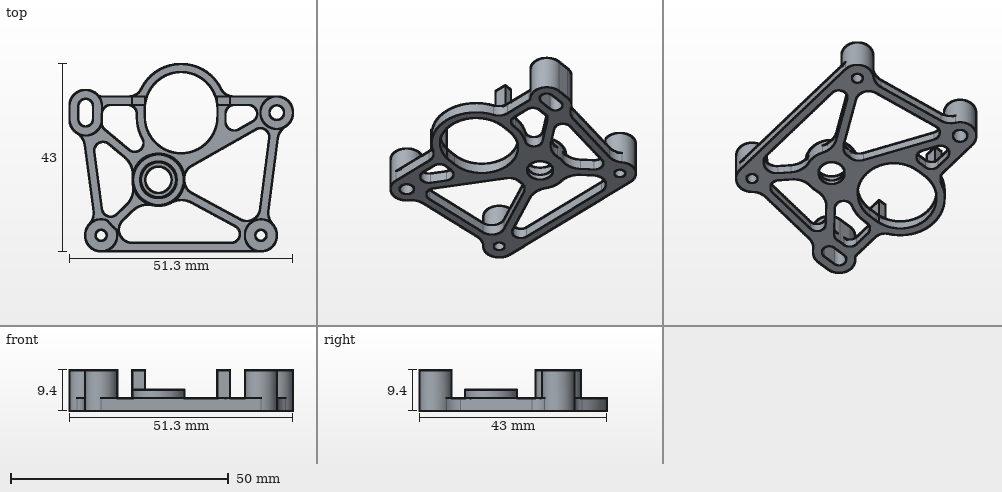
import cadquery as cq
import math

plate_height = 3.0
hub_height = 5.0
boss_height = 9.4

hub = (0.0, 0.0)
hub_radius = 12.0 / 2
hub_bore_radius = 6.0 / 2
bearing_seat_radius = 8.02 / 2
bearing_seat_depth = 3.5
hub_chamfer = 0.2

upper_row_y = 15.4
lower_row_y = -12.74
slot_x = -16.7
lower_left = (-13.15, lower_row_y)
lower_right = (23.5, lower_row_y)
upper_right = (27.14, upper_row_y)
upper_boss_radius = 7.5 / 2
lower_boss_radius = 7.4 / 2
upper_hole_radius = 3.3 / 2
lower_hole_radius = 2.5 / 2
slot_travel = 3.0
slot_bottom = (slot_x, upper_row_y - slot_travel / 2)

wheel_clearance_radius = 15.0

bar_width = 2.0
ring_x = 5.2
ring_travel = 2.0
ring_inner_radius = 8.3
ring_wall = 1.9
ring_outer_radius = ring_inner_radius + ring_wall
ring_bottom = (ring_x, upper_row_y - ring_travel / 2)

tab_width = 3.0
tab_span = 22.5

corner_radius = 2.0
wide_corner_radius = 3.0
hub_blend_small = 3.0
hub_blend_large = 5.0
outline_blend = 4.0
ring_blend = 3.0
slot_boss_blend = 1.0

half_bar = bar_width / 2
top_edge_y = upper_row_y + upper_boss_radius
bottom_edge_y = lower_row_y - lower_boss_radius
window_top_y = top_edge_y - bar_width
window_bottom_y = bottom_edge_y + bar_width


def cylinder(center, radius, height):
    return cq.Workplane("XY").center(*center).circle(radius).extrude(height)


def upright_slot(x, radius, travel, height):
    """Oblong prism along Y, centred on the upper row."""
    length = travel + 2 * radius
    return cq.Workplane("XY").center(x, upper_row_y).slot2D(length, 2 * radius, 90).extrude(height)


def prism(points):
    return cq.Workplane("XY").polyline(points).close().extrude(plate_height)


def offset_line(start, end, distance):
    """Line from start to end shifted to its left: a point and a unit direction."""
    length = math.dist(start, end)
    dx = (end[0] - start[0]) / length
    dy = (end[1] - start[1]) / length
    return (start[0] - distance * dy, start[1] + distance * dx), (dx, dy)


def crossing(line_a, line_b):
    (ax, ay), (adx, ady) = line_a
    (bx, by), (bdx, bdy) = line_b
    along = ((bx - ax) * bdy - (by - ay) * bdx) / (adx * bdy - ady * bdx)
    return ax + along * adx, ay + along * ady


def reverse(line):
    (px, py), (dx, dy) = line
    return (px, py), (-dx, -dy)


def line_circle_crossing(line, center, radius):
    """First point where a line enters a circle."""
    (px, py), (dx, dy) = line
    foot = (center[0] - px) * dx + (center[1] - py) * dy
    miss = (center[0] - px) * dy - (center[1] - py) * dx
    along = foot - math.sqrt(radius**2 - miss**2)
    return px + along * dx, py + along * dy


def round_corner(body, point, radius):
    """Fillet the vertical edge nearest to a point in plan."""
    mid_height = plate_height / 2
    nearest = cq.selectors.NearestToPointSelector((point[0], point[1], mid_height))
    return body.edges("|Z").edges(nearest).fillet(radius)


def hub_window(sides, far_radii, hub_radii):
    """Triangular window whose first side leaves the hub and whose last side returns to it."""
    first, far, last = sides
    far_corners = [crossing(first, far), crossing(far, last)]
    window = prism([crossing(last, first)] + far_corners)
    window = window.cut(cylinder(hub, hub_radius, plate_height))
    hub_corners = [line_circle_crossing(side, hub, hub_radius) for side in (reverse(first), last)]
    for point, radius in zip(far_corners + hub_corners, far_radii + hub_radii):
        window = round_corner(window, point, radius)
    return window


def right_window():
    sides = [
        offset_line(hub, lower_right, half_bar),
        offset_line(lower_right, upper_right, half_bar),
        offset_line(upper_right, hub, half_bar),
    ]
    return hub_window(sides, [wide_corner_radius, corner_radius], [hub_blend_small, hub_blend_small])


def left_window():
    sides = [
        offset_line(hub, slot_bottom, half_bar),
        offset_line(slot_bottom, lower_left, half_bar),
        offset_line(lower_left, hub, half_bar),
    ]
    return hub_window(sides, [corner_radius, corner_radius], [hub_blend_large, hub_blend_large])


def bottom_window():
    sides = [
        offset_line(hub, lower_left, half_bar),
        ((0, window_bottom_y), (1, 0)),
        offset_line(lower_right, hub, half_bar),
    ]
    return hub_window(sides, [wide_corner_radius, corner_radius], [hub_blend_large, hub_blend_large])


def upper_right_window():
    diagonal = offset_line(hub, upper_right, half_bar)
    ring_side = ((ring_x + ring_outer_radius, 0), (0, 1))
    top = ((0, window_top_y), (1, 0))
    corners = [crossing(diagonal, ring_side), crossing(diagonal, top), crossing(ring_side, top)]
    window = prism(corners)
    for point in corners:
        window = round_corner(window, point, corner_radius)
    return window


def upper_left_window():
    """Window between the slotted boss and the ring, with a round tip beside the ring."""
    diagonal = offset_line(slot_bottom, hub, half_bar)
    tip_path = offset_line(slot_bottom, hub, half_bar + corner_radius)
    tip = line_circle_crossing(tip_path, ring_bottom, ring_outer_radius + corner_radius)
    dx, dy = diagonal[1]
    tip_foot = (tip[0] + corner_radius * dy, tip[1] - corner_radius * dx)
    boss_axis = ((slot_x, 0), (0, 1))
    window = prism([
        crossing(diagonal, boss_axis),
        tip_foot,
        tip,
        ring_bottom,
        (ring_x, window_top_y),
        (slot_x, window_top_y),
    ])
    window = window.cut(upright_slot(ring_x, ring_outer_radius, ring_travel, plate_height))
    window = window.cut(upright_slot(slot_x, upper_boss_radius, slot_travel, plate_height))
    boss_side_x = slot_x + upper_boss_radius
    diagonal_end = crossing(diagonal, ((boss_side_x, 0), (0, 1)))
    ring_side_x = ring_x - ring_outer_radius
    for point in [(boss_side_x, window_top_y), diagonal_end, (ring_side_x, window_top_y)]:
        window = round_corner(window, point, corner_radius)
    return window.union(cylinder(tip, corner_radius, plate_height))


def plate_blank():
    """Solid plate outline: bars between the bosses, with the ring standing above the top bar."""
    left_side = offset_line(slot_bottom, lower_left, -half_bar)
    right_side = offset_line(lower_right, upper_right, -half_bar)
    lower_row = ((0, lower_row_y), (1, 0))
    blank = prism([
        lower_left,
        (lower_left[0], bottom_edge_y),
        (lower_right[0], bottom_edge_y),
        lower_right,
        crossing(lower_row, right_side),
        crossing(right_side, ((0, upper_row_y), (1, 0))),
        upper_right,
        (upper_right[0], top_edge_y),
        (slot_x, top_edge_y),
        crossing(left_side, ((0, slot_bottom[1]), (1, 0))),
        crossing(left_side, lower_row),
    ])
    blank = blank.union(upright_slot(ring_x, ring_outer_radius, ring_travel, plate_height))
    blank = blank.union(upright_slot(slot_x, upper_boss_radius, slot_travel, plate_height))
    blank = blank.union(cylinder(upper_right, upper_boss_radius, plate_height))
    for center in (lower_left, lower_right):
        blank = blank.union(cylinder(center, lower_boss_radius, plate_height))

    left_reversed = reverse(left_side)
    right_reversed = reverse(right_side)
    boss_corners = [
        line_circle_crossing(left_side, lower_left, lower_boss_radius),
        line_circle_crossing(left_reversed, slot_bottom, upper_boss_radius),
        line_circle_crossing(right_side, upper_right, upper_boss_radius),
        line_circle_crossing(right_reversed, lower_right, lower_boss_radius),
    ]
    for corner in boss_corners:
        blank = round_corner(blank, corner, outline_blend)

    ring_top = (ring_x, upper_row_y + ring_travel / 2)
    slot_top = (slot_x, upper_row_y + slot_travel / 2)
    top_rightward = ((0, top_edge_y), (1, 0))
    top_leftward = reverse(top_rightward)
    ring_left = line_circle_crossing(top_rightward, ring_top, ring_outer_radius)
    ring_right = line_circle_crossing(top_leftward, ring_top, ring_outer_radius)
    slot_corner = line_circle_crossing(top_leftward, slot_top, upper_boss_radius)
    blank = round_corner(blank, ring_left, ring_blend)
    blank = round_corner(blank, ring_right, ring_blend)
    return round_corner(blank, slot_corner, slot_boss_blend)


def plate():
    body = plate_blank()
    windows = [
        right_window(),
        left_window(),
        bottom_window(),
        upper_right_window(),
        upper_left_window(),
    ]
    for window in windows:
        body = body.cut(window)
    return body.cut(upright_slot(ring_x, ring_inner_radius, ring_travel, plate_height))


def bosses():
    body = upright_slot(slot_x, upper_boss_radius, slot_travel, boss_height)
    body = body.union(cylinder(upper_right, upper_boss_radius, boss_height))
    body = body.union(cylinder(lower_right, lower_boss_radius, boss_height))
    wheel_space = cylinder(hub, wheel_clearance_radius, boss_height).translate((0, 0, plate_height))
    return body.union(cylinder(lower_left, lower_boss_radius, boss_height).cut(wheel_space))


def tabs():
    """Square-edged posts as deep as the top bar."""
    center_y = top_edge_y - half_bar
    offset_x = (tab_span - tab_width) / 2
    centers = [(ring_x - offset_x, center_y), (ring_x + offset_x, center_y)]
    return cq.Workplane("XY").pushPoints(centers).rect(tab_width, bar_width).extrude(boss_height)


def bearing_hub():
    return cylinder(hub, hub_radius, hub_height).faces(">Z").chamfer(hub_chamfer)


def bearing_cavity():
    """Through bore, bearing seat from above and the lead-in chamfer at its rim."""
    seat_floor = hub_height - bearing_seat_depth
    seat = cylinder(hub, bearing_seat_radius, bearing_seat_depth).translate((0, 0, seat_floor))
    lead_in = (
        cq.Workplane("XY")
        .workplane(offset=hub_height - hub_chamfer)
        .circle(bearing_seat_radius)
        .workplane(offset=hub_chamfer)
        .circle(bearing_seat_radius + hub_chamfer)
        .loft()
    )
    return cylinder(hub, hub_bore_radius, hub_height).union(seat).union(lead_in)


def mounting_holes():
    holes = upright_slot(slot_x, upper_hole_radius, slot_travel, boss_height)
    holes = holes.union(cylinder(upper_right, upper_hole_radius, boss_height))
    for center in (lower_left, lower_right):
        holes = holes.union(cylinder(center, lower_hole_radius, boss_height))
    return holes


result = plate().union(bosses()).union(tabs()).union(bearing_hub())
result = result.cut(bearing_cavity()).cut(mounting_holes())